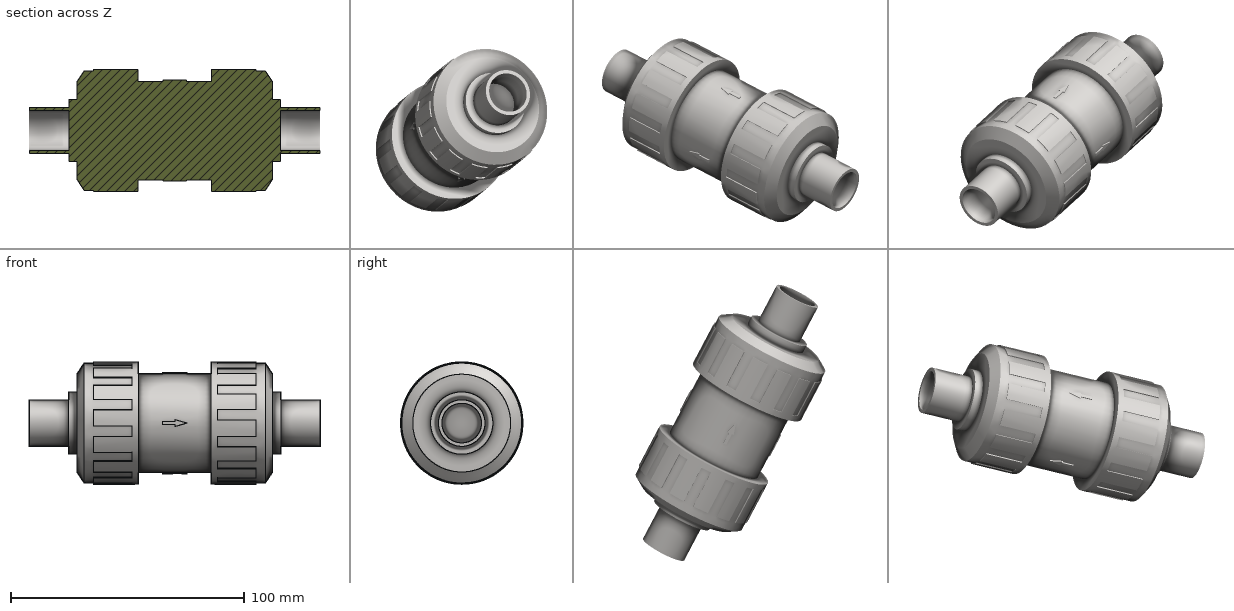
import cadquery as cq
import math

total_length = 125.0
half_length = total_length / 2

body_diameter = 42.5

pipe_diameter = 20.0
bore_diameter = 17.0
collar_diameter = 26.8
collar_half_span = 45.5
bore_depth = half_length - collar_half_span

nut_inner_face = 15.6
nut_outer_face = 42.0
nut_core_diameter = 51.5
nut_rim_diameter = 52.5
nut_chamfer_length = 3.1
nut_face_diameter = 42.0
rim_length = 2.6

rib_count = 14
rib_pitch = 360.0 / rib_count
rib_angle = 15.6
rib_outer_end = 34.9
groove_tool_excess = 1.2
first_rib_angle = {-1: 5.0, 1: -5.0}

arrow_count = 4
arrow_half_length = 5.2
arrow_head_length = 5.2
arrow_shaft_width = 1.4
arrow_head_width = 3.0
arrow_height = 0.5
arrow_root_depth = 1.0


def cylinder(diameter, start, end):
    """Cylinder about the X axis between two X positions."""
    return cq.Workplane("YZ", origin=(start, 0, 0)).circle(diameter / 2).extrude(end - start)


def turn_about_x(shape, angle):
    return shape.rotate((0, 0, 0), (1, 0, 0), angle)


def rim_point(radius, angle):
    """Point in the YZ plane at an angle in degrees, measured from -Y towards +Z."""
    return (-radius * math.cos(math.radians(angle)), radius * math.sin(math.radians(angle)))


def grooves(side):
    """Tools that cut the gaps between ribs down to the core, open towards the nut's outer end."""
    core_radius = nut_core_diameter / 2
    tool_radius = nut_rim_diameter / 2 + groove_tool_excess
    half_angle = (rib_pitch - rib_angle) / 2
    groove_start = nut_inner_face + rim_length
    tools = cq.Workplane("YZ", origin=(side * groove_start, 0, 0))
    for index in range(rib_count):
        middle = first_rib_angle[side] + (index + 0.5) * rib_pitch
        tools = (
            tools.moveTo(*rim_point(core_radius, middle - half_angle))
            .threePointArc(rim_point(core_radius, middle), rim_point(core_radius, middle + half_angle))
            .lineTo(*rim_point(tool_radius, middle + half_angle))
            .threePointArc(rim_point(tool_radius, middle), rim_point(tool_radius, middle - half_angle))
            .close()
        )
    return tools.extrude(side * (rib_outer_end - groove_start))


def nut_core(side):
    """Solid of revolution under the ribs, with its chamfered nose."""
    profile = [
        (side * nut_inner_face, 0),
        (side * nut_inner_face, nut_core_diameter / 2),
        (side * (nut_outer_face - nut_chamfer_length), nut_core_diameter / 2),
        (side * nut_outer_face, nut_face_diameter / 2),
        (side * nut_outer_face, 0),
    ]
    return cq.Workplane("XZ").polyline(profile).close().revolve(360, (0, 0, 0), (1, 0, 0))


def union_nut(side):
    """Nut on the side (-1 or +1) of the valve: a core wrapped in a ribbed sleeve with a plain rim."""
    sleeve = (
        cq.Workplane("YZ", origin=(side * nut_inner_face, 0, 0))
        .circle(nut_rim_diameter / 2)
        .circle(nut_core_diameter / 2)
        .extrude(side * (rib_outer_end - nut_inner_face))
        .cut(grooves(side))
    )
    return nut_core(side).union(sleeve)


def flow_arrow():
    """Arrow on top of the body, with its outer face following the body's curve."""
    head_base = arrow_half_length - arrow_head_length
    outline = [
        (-arrow_half_length, -arrow_shaft_width / 2),
        (head_base, -arrow_shaft_width / 2),
        (head_base, -arrow_head_width / 2),
        (arrow_half_length, 0),
        (head_base, arrow_head_width / 2),
        (head_base, arrow_shaft_width / 2),
        (-arrow_half_length, arrow_shaft_width / 2),
    ]
    prism = (
        cq.Workplane("XY", origin=(0, 0, body_diameter / 2 - arrow_root_depth))
        .polyline(outline)
        .close()
        .extrude(arrow_root_depth + 2 * arrow_height)
    )
    return prism.intersect(
        cylinder(body_diameter + 2 * arrow_height, -arrow_half_length, arrow_half_length)
    )


result = cylinder(pipe_diameter, -half_length, half_length)
result = result.union(cylinder(collar_diameter, -collar_half_span, collar_half_span))
result = result.union(cylinder(body_diameter, -nut_inner_face, nut_inner_face))

for nut_side in (-1, 1):
    result = result.union(union_nut(nut_side))

arrow = flow_arrow()
for arrow_index in range(arrow_count):
    result = result.union(turn_about_x(arrow, arrow_index * 360.0 / arrow_count))

for end_side in (-1, 1):
    bore_floor = end_side * (half_length - bore_depth)
    result = result.cut(cylinder(bore_diameter, bore_floor, end_side * half_length))